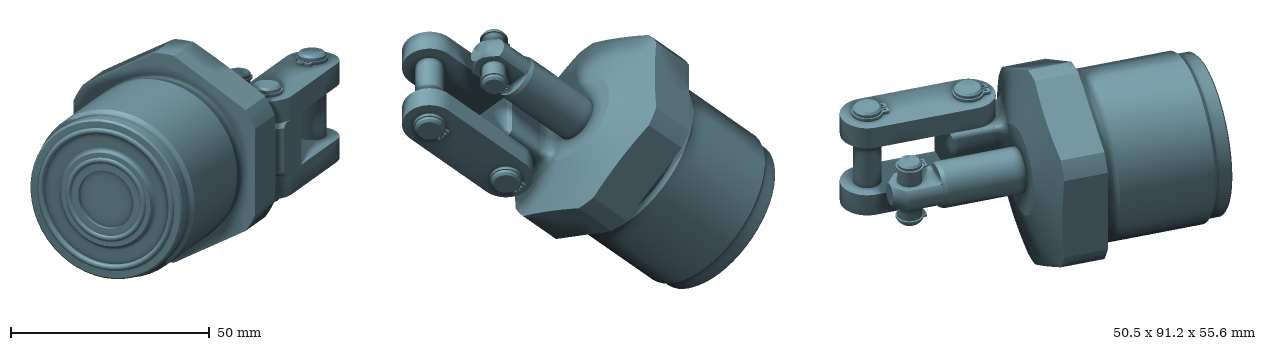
import cadquery as cq
import math


HEX_ACROSS_FLATS = 50.5
HEX_ROUND_RADIUS = 27.78
HEX_START = 35.2
DOME_TOP = 50.22
DOME_TOP_RADIUS = 11.8
DOME_ANGLE = 12
BARREL_RADIUS = 22.3
NECK_RADIUS = 21.2
BARREL_START = 5.6
BARREL_END = 30.9
NECK_FILLET = 1.0
NOSE_FACE = 0.5
NOSE_CHAMFER = 0.5
STEP = BARREL_RADIUS - NECK_RADIUS

RING_SECTION_RADIUS = 0.87
OUTER_RING_OUTSIDE = 19.0
INNER_RING_OUTSIDE = 11.2
FACE_RECESS_FLOOR = 1.6
BOSS_RADIUS = 12.4
PORT_RADIUS = 7.7

LINK_X = 18.1
LINK_RADIUS = 6.9
PIVOT_Y = 57.4
LINK_END_Y = 91.2 - LINK_RADIUS
LINK_INSIDE = 7.07
LINK_OUTSIDE = 13.1
LUG_LEFT = 9.8
LUG_RIGHT = LINK_X + LINK_RADIUS
LUG_FOOT_RIGHT = 21.1
LUG_FOOT_TOP = 48.9
LUG_TOP = 64.2
LUG_CORNER_FILLET = 1.5
LUG_TOP_CHAMFER = 0.87
LUG_SLOPE_CHAMFER = 1.1
FLARE_RADIUS = 3.0
FLARE_DOME_SOFTENING = 27.4
CLEARANCE_RADIUS = 7.5
CLEARANCE_BEVEL = 0.775

ROD_RADIUS = 6.0
ROD_END = 72.2
ROD_BEVEL_LENGTH = 1.1
ROD_BEVEL_DEPTH = 0.4
EYE_HALF_WIDTH = 5.75
EYE_FLAT_HALF_WIDTH = 4.5
EYE_HALF_THICKNESS = 3.0
EYE_ROOT_FILLET = 0.8
EYE_TIP = 84.6
EYE_TIP_RADIUS = 2.9
EYE_TAPER_LENGTH = 3.2
PLUNGER_PIN_Y = 79.3

LINK_PIN = (3.65, 15.3, 0.55)
PLUNGER_PIN = (3.1, 9.0, 0.55)

LINK_CLIP = (LINK_OUTSIDE, 0.8, 4.0)
PLUNGER_CLIP = (7.25, 0.5, 3.6)
LINK_CLIP_EARS = (2.0, 5.34, 0.2, 1.0, 4.3, 0.4)
PLUNGER_CLIP_EARS = (1.6, 4.24, 0.14, 0.8, 3.6, 0.23)

EAR_CORNER_SHARE = 0.25

MARGIN = 0.9
SIDES = (1, -1)


def cylinder_y(radius, start, end):
    """Cylinder on the Y axis between two Y positions."""
    return cq.Workplane("XZ", origin=(0, start, 0)).circle(radius).extrude(start - end)


def cylinder_z(radius, x, y, bottom, top):
    """Cylinder parallel to Z between two Z positions."""
    return cq.Workplane("XY", origin=(x, y, bottom)).circle(radius).extrude(top - bottom)


def revolve_y(profile):
    """Turn a closed XY profile around the Y axis."""
    return profile.close().revolve(360, (0, 0, 0), (0, 1, 0))


def dome(radius):
    """Flat-topped cone closing the housing, reaching out to the given radius."""
    drop = (radius - DOME_TOP_RADIUS) * math.tan(math.radians(DOME_ANGLE))
    profile = (
        cq.Workplane("XY").moveTo(0, HEX_START).lineTo(radius, HEX_START)
        .lineTo(radius, DOME_TOP - drop).lineTo(DOME_TOP_RADIUS, DOME_TOP).lineTo(0, DOME_TOP)
    )
    return revolve_y(profile)


def hexagon():
    corner_diameter = HEX_ACROSS_FLATS / math.cos(math.radians(30))
    prism = (
        cq.Workplane("XZ", origin=(0, HEX_START, 0)).transformed(rotate=(0, 0, 30))
        .polygon(6, corner_diameter).extrude(HEX_START - DOME_TOP)
    )
    return prism.intersect(dome(HEX_ROUND_RADIUS))


def barrel():
    profile = (
        cq.Workplane("XY").moveTo(0, NOSE_FACE)
        .lineTo(NECK_RADIUS - NOSE_CHAMFER, NOSE_FACE)
        .lineTo(NECK_RADIUS, NOSE_FACE + NOSE_CHAMFER)
        .lineTo(NECK_RADIUS, BARREL_START - STEP)
        .lineTo(BARREL_RADIUS, BARREL_START)
        .lineTo(BARREL_RADIUS, BARREL_END)
        .lineTo(NECK_RADIUS, BARREL_END + STEP)
        .lineTo(NECK_RADIUS, HEX_START - NECK_FILLET)
        .radiusArc((NECK_RADIUS + NECK_FILLET, HEX_START), NECK_FILLET)
        .lineTo(0, HEX_START)
    )
    return revolve_y(profile)


def face_recess():
    """Annular recess around the boss, with a concave sweep up to the boss rim."""
    sweep = FACE_RECESS_FLOOR - NOSE_FACE
    profile = (
        cq.Workplane("XY").moveTo(BOSS_RADIUS, NOSE_FACE)
        .radiusArc((BOSS_RADIUS + sweep, FACE_RECESS_FLOOR), sweep)
        .lineTo(OUTER_RING_OUTSIDE, FACE_RECESS_FLOOR)
        .lineTo(OUTER_RING_OUTSIDE, NOSE_FACE)
    )
    return revolve_y(profile)


def sealing_ring(outside_radius):
    middle = outside_radius - RING_SECTION_RADIUS
    return (
        cq.Workplane("XY").center(middle, RING_SECTION_RADIUS).circle(RING_SECTION_RADIUS)
        .revolve(360, (-middle, 0, 0), (-middle, 1, 0))
    )


def lug_flare():
    """Foot of the lug, blended into the dome and cut back around the link ends."""
    reach = 2 * HEX_ROUND_RADIUS
    wide_dome = dome(reach)
    top_face_edge = wide_dome.faces(">Y").edges()
    base = top_face_edge.fillet(FLARE_DOME_SOFTENING)
    block = (
        cq.Workplane("XY")
        .box(2 * reach, LUG_TOP - HEX_START, 2 * LINK_INSIDE, centered=(False, False, True))
        .edges("|Y and <X").fillet(LUG_CORNER_FILLET)
        .translate((LUG_LEFT, HEX_START, 0))
    )
    joint_zone = cq.selectors.BoxSelector(
        (LUG_LEFT - MARGIN, HEX_START + MARGIN, -LINK_INSIDE - MARGIN),
        (reach, DOME_TOP + MARGIN, LINK_INSIDE + MARGIN),
        boundingbox=True,
    )
    flare = base.union(block).edges(joint_zone).edges("not(|Y)").fillet(FLARE_RADIUS)
    foot_zone = (
        cq.Workplane("XY")
        .box(LUG_FOOT_RIGHT, PIVOT_Y - HEX_START, 4 * LINK_INSIDE, centered=(False, False, True))
        .translate((0, HEX_START, 0))
    )
    flare = flare.intersect(foot_zone)
    for side in SIDES:
        flare = flare.cut(link_clearance(side))
    return flare


def link_clearance(side):
    """Bevelled round pocket that keeps the flare clear of a link end."""
    pocket_radius = CLEARANCE_RADIUS + CLEARANCE_BEVEL
    pocket = (
        cylinder_z(pocket_radius, LINK_X, PIVOT_Y, LINK_INSIDE, LINK_OUTSIDE)
        .faces("<Z").edges().chamfer(CLEARANCE_BEVEL)
    )
    return pocket if side > 0 else pocket.mirror("XY")


def lug():
    slope_start = LUG_FOOT_TOP + LUG_RIGHT - LUG_FOOT_RIGHT
    block = (
        cq.Workplane("XY", origin=(0, 0, -LINK_INSIDE))
        .moveTo(LUG_LEFT, HEX_START).lineTo(LUG_LEFT, LUG_TOP).lineTo(LUG_RIGHT, LUG_TOP)
        .lineTo(LUG_RIGHT, slope_start).lineTo(LUG_FOOT_RIGHT, LUG_FOOT_TOP)
        .lineTo(LUG_FOOT_RIGHT, HEX_START).close().extrude(2 * LINK_INSIDE)
    )
    slope_zone = cq.selectors.BoxSelector(
        (LUG_FOOT_RIGHT, LUG_FOOT_TOP, -LUG_TOP), (LUG_RIGHT, slope_start, LUG_TOP)
    )
    block = block.edges("|Y and <X").fillet(LUG_CORNER_FILLET)
    block = block.faces("|Z").edges(slope_zone).chamfer(LUG_SLOPE_CHAMFER)
    return block.faces(">Y").edges().chamfer(LUG_TOP_CHAMFER)


def link_arm(side):
    """Straight arm with round ends on one side of the lug."""
    length = LINK_END_Y - PIVOT_Y
    arm = (
        cq.Workplane("XY", origin=(LINK_X, (PIVOT_Y + LINK_END_Y) / 2, LINK_INSIDE))
        .slot2D(length + 2 * LINK_RADIUS, 2 * LINK_RADIUS, 90)
        .extrude(LINK_OUTSIDE - LINK_INSIDE)
    )
    return arm if side > 0 else arm.mirror("XY")


def pin(x, y, size):
    """Cross pin centred on Z = 0 with chamfered ends."""
    radius, half_length, chamfer = size
    return cylinder_z(radius, x, y, -half_length, half_length).faces("|Z").edges().chamfer(chamfer)


def clip(x, y, side, size, ears):
    """Retaining clip around a pin: a ring open towards -Y between two drilled ears."""
    inner_face, thickness, ring_radius = size
    half_width, reach, half_gap, hole_x, hole_y, hole_radius = ears
    outer_face = inner_face + thickness
    plane = cq.Workplane("XY", origin=(0, 0, inner_face))
    ear_block = (
        plane.center(0, -reach / 2).rect(2 * half_width, reach).extrude(thickness)
        .edges("|Z and <Y").fillet(EAR_CORNER_SHARE * half_width)
    )
    gap = plane.center(0, -reach / 2).rect(2 * half_gap, reach).extrude(thickness)
    holes = plane.pushPoints([(-hole_x, -hole_y), (hole_x, -hole_y)]).circle(hole_radius).extrude(thickness)
    body = cylinder_z(ring_radius, 0, 0, inner_face, outer_face).union(ear_block).cut(gap).cut(holes)
    if side < 0:
        body = body.mirror("XY")
    return body.translate((x, y, 0))


def make_clamp_body():
    """Housing with its lug, sealing rings, link arms, link pins and clips."""
    body = hexagon().union(barrel()).cut(face_recess())
    body = body.cut(cylinder_y(PORT_RADIUS, NOSE_FACE, FACE_RECESS_FLOOR))
    for outside_radius in (OUTER_RING_OUTSIDE, INNER_RING_OUTSIDE):
        body = body.union(sealing_ring(outside_radius))
    body = body.union(lug_flare()).union(lug())
    for side in SIDES:
        body = body.union(link_arm(side))
    for pin_y in (PIVOT_Y, LINK_END_Y):
        body = body.union(pin(LINK_X, pin_y, LINK_PIN))
        for side in SIDES:
            body = body.union(clip(LINK_X, pin_y, side, LINK_CLIP, LINK_CLIP_EARS))
    return body


def plunger_rod():
    bevel_radius = ROD_RADIUS - ROD_BEVEL_DEPTH
    profile = (
        cq.Workplane("XY").moveTo(0, DOME_TOP).lineTo(ROD_RADIUS, DOME_TOP)
        .lineTo(ROD_RADIUS, ROD_END - ROD_BEVEL_LENGTH).lineTo(bevel_radius, ROD_END).lineTo(0, ROD_END)
    )
    return revolve_y(profile)


def plunger_eye():
    """Flattened end of the rod with bulged sides and a tapered tip."""
    root = ROD_END - ROD_BEVEL_LENGTH
    blade = (
        cq.Workplane("XZ", origin=(0, root, 0))
        .moveTo(-EYE_FLAT_HALF_WIDTH, EYE_HALF_THICKNESS)
        .lineTo(EYE_FLAT_HALF_WIDTH, EYE_HALF_THICKNESS)
        .threePointArc((EYE_HALF_WIDTH, 0), (EYE_FLAT_HALF_WIDTH, -EYE_HALF_THICKNESS))
        .lineTo(-EYE_FLAT_HALF_WIDTH, -EYE_HALF_THICKNESS)
        .threePointArc((-EYE_HALF_WIDTH, 0), (-EYE_FLAT_HALF_WIDTH, EYE_HALF_THICKNESS))
        .close().extrude(root - EYE_TIP)
    )
    envelope = (
        cq.Workplane("XY").moveTo(0, root).lineTo(EYE_HALF_WIDTH, root)
        .lineTo(EYE_HALF_WIDTH, EYE_TIP - EYE_TAPER_LENGTH).lineTo(EYE_TIP_RADIUS, EYE_TIP).lineTo(0, EYE_TIP)
    )
    return blade.intersect(revolve_y(envelope))


def eye_root_fillets():
    """Concave strips between the flats of the eye and the end of the rod."""
    top = EYE_HALF_THICKNESS + EYE_ROOT_FILLET
    strip = (
        cq.Workplane("YZ", origin=(-EYE_FLAT_HALF_WIDTH, 0, 0))
        .moveTo(ROD_END, EYE_HALF_THICKNESS).lineTo(ROD_END + EYE_ROOT_FILLET, EYE_HALF_THICKNESS)
        .radiusArc((ROD_END, top), EYE_ROOT_FILLET).close().extrude(2 * EYE_FLAT_HALF_WIDTH)
    )
    return strip.union(strip.mirror("XY"))


def make_plunger():
    """Rod standing on the dome, with its flattened eye, cross pin and clips."""
    body = plunger_rod().union(plunger_eye()).union(eye_root_fillets())
    body = body.union(pin(0, PLUNGER_PIN_Y, PLUNGER_PIN))
    for side in SIDES:
        body = body.union(clip(0, PLUNGER_PIN_Y, side, PLUNGER_CLIP, PLUNGER_CLIP_EARS))
    return body


clamp_body = make_clamp_body()
plunger = make_plunger()
result = cq.Compound.makeCompound([clamp_body.val(), plunger.val()])